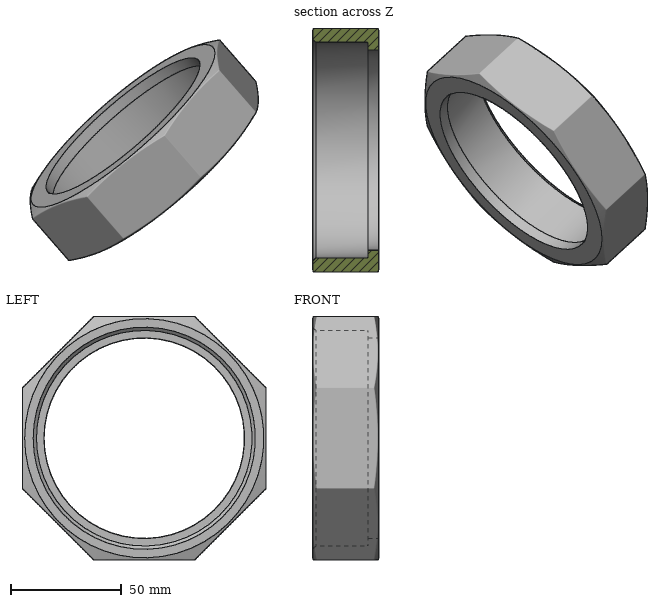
import cadquery as cq
import math

width = 30.0
across_flats = 110.0
side_count = 8
face_diameter = 108.0
corner_angle = 20.0
edge_radius = 0.5
side_edge_radius = 0.5
bore_diameter = 97.3
mouth_diameter = 100.3
lip_diameter = 90.4
lip_thickness = 5.0
seat_radius = 0.4
envelope_clearance = 1.0

corner_radius = across_flats / 2 / math.cos(math.pi / side_count)
half_width = width / 2


def revolve_about_x(points):
    """Solid of revolution from (x, radius) points."""
    return cq.Workplane("XY").polyline(points).close().revolve(360, (0, 0, 0), (1, 0, 0))


def octagon_body():
    """Prism with flats facing Y and Z."""
    return (
        cq.Workplane("YZ", origin=(-half_width, 0, 0))
        .transformed(rotate=(0, 0, 180 / side_count))
        .polygon(side_count, 2 * corner_radius)
        .extrude(width)
    )


def corner_envelope():
    """Double-coned disc that cuts the octagon corners at both ends."""
    face_radius = face_diameter / 2
    outer_radius = corner_radius + envelope_clearance
    cone_depth = (outer_radius - face_radius) * math.tan(math.radians(corner_angle))
    return revolve_about_x([
        (-half_width, 0),
        (-half_width, face_radius),
        (-half_width + cone_depth, outer_radius),
        (half_width - cone_depth, outer_radius),
        (half_width, face_radius),
        (half_width, 0),
    ])


def stepped_bore():
    """Entry chamfer, large bore and smaller lip opening."""
    bore_radius = bore_diameter / 2
    mouth_radius = mouth_diameter / 2
    lip_radius = lip_diameter / 2
    step_x = half_width - lip_thickness
    chamfer = mouth_radius - bore_radius
    bore = revolve_about_x([
        (-half_width, 0),
        (-half_width, mouth_radius),
        (-half_width + chamfer, bore_radius),
        (step_x, bore_radius),
        (step_x, lip_radius),
        (half_width, lip_radius),
        (half_width, 0),
    ])
    bore_circles = cq.selectors.RadiusNthSelector(-2)
    return bore.edges(bore_circles).edges(">X").fillet(seat_radius)


body = octagon_body().edges("|X").fillet(side_edge_radius).intersect(corner_envelope())
body = body.faces("#X").edges("not |X").fillet(edge_radius)
result = body.cut(stepped_bore())